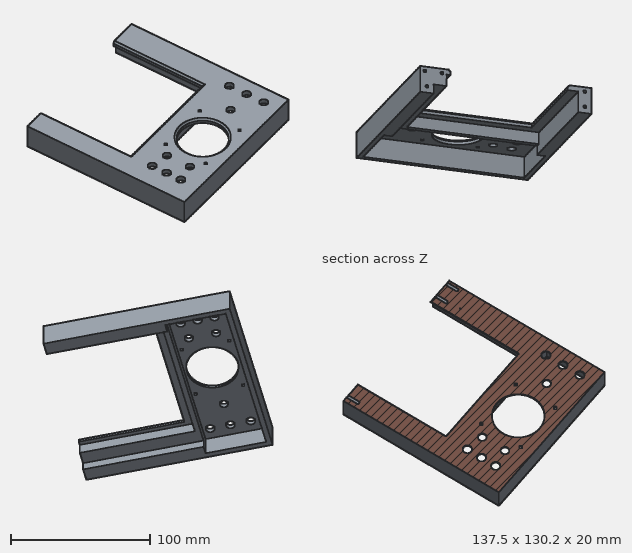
import cadquery as cq

LENGTH = 137.5
WIDTH = 130.2
HEIGHT = 20.0

PLATE = 4.0
PLATE_BOTTOM = HEIGHT - PLATE
ARM_WALL = 10.0
PANEL_WALL = 3.8
LEDGE_WIDTH = 9.9
LEDGE_BOTTOM = 7.0

OPENING_END = 77.8
OPENING_FRONT = 18.2
OPENING_BACK = 107.2
OPENING_CHAMFER = 1.5

RIB_START = 85.0
RIB_THICKNESS = 4.0
RIB_END = RIB_START + RIB_THICKNESS

PANEL_X = 109.5
BORE_Y = 62.8
BORE_DIAMETER = 37.5
BORE_CHAMFER = 1.5
SCREW_DIAMETER = 2.0
SCREW_HALF_X = 17.5
SCREW_HALF_Y = 21.2
LARGE_HOLE = 6.5
SMALL_HOLE = 6.0
BACK_ROW_Y = 117.7
BACK_ROW_PITCH = 15.0
SINGLE_HOLE_Y = 97.8
PAIR_Y = 32.6
PAIR_HALF_PITCH = 10.0
FRONT_ROW_Y = 17.7
FRONT_ROW_PITCH = 12.5

END_HOLE_DEPTH = 10.0
END_HOLE_TOP_Z = 16.5
END_HOLE_LOW_Z = 4.8
END_HOLE_INSET = 5.1
END_HOLE_BACK_INSET = 3.5
END_HOLE_LEDGE_INSET = 16.5


def box(x_range, y_range, z_range):
    """Box between the given (low, high) limits along each axis."""
    size = [high - low for low, high in (x_range, y_range, z_range)]
    corner = (x_range[0], y_range[0], z_range[0])
    return cq.Workplane("XY").box(*size, centered=False).translate(corner)


def opening():
    """Through opening, open at X = 0, with its top edges chamfered."""
    slot = box((0, OPENING_END), (OPENING_FRONT, OPENING_BACK), (0, HEIGHT))
    flare = (
        cq.Workplane("XY", origin=(0, 0, HEIGHT))
        .moveTo(-OPENING_END, OPENING_FRONT - OPENING_CHAMFER)
        .lineTo(OPENING_END + OPENING_CHAMFER, OPENING_FRONT - OPENING_CHAMFER)
        .lineTo(OPENING_END + OPENING_CHAMFER, OPENING_BACK + OPENING_CHAMFER)
        .lineTo(-OPENING_END, OPENING_BACK + OPENING_CHAMFER)
        .close()
        .extrude(-OPENING_CHAMFER, taper=45)
    )
    return slot.union(flare)


def underside_recess():
    """Hollow below the plate: arm channel, lower step and panel cavity."""
    back_wall = WIDTH - ARM_WALL
    channel = box((0, RIB_START), (ARM_WALL, back_wall - LEDGE_WIDTH), (0, PLATE_BOTTOM))
    step = box((0, RIB_END), (ARM_WALL, back_wall), (0, LEDGE_BOTTOM))
    cavity = box(
        (RIB_END, LENGTH - PANEL_WALL),
        (PANEL_WALL, WIDTH - PANEL_WALL),
        (0, PLATE_BOTTOM),
    )
    return channel.union(step).union(cavity)


def panel_holes(points, diameter):
    """Round holes through the plate."""
    return (
        cq.Workplane("XY", origin=(0, 0, PLATE_BOTTOM))
        .pushPoints(points)
        .circle(diameter / 2)
        .extrude(PLATE)
    )


def bore():
    """Large panel bore with a chamfered top edge."""
    radius = BORE_DIAMETER / 2
    countersink = (
        cq.Workplane("XY", origin=(PANEL_X, BORE_Y, HEIGHT))
        .circle(radius + BORE_CHAMFER)
        .extrude(-BORE_CHAMFER, taper=45)
    )
    return panel_holes([(PANEL_X, BORE_Y)], BORE_DIAMETER).union(countersink)


def row(y, pitch):
    """Three hole centres spaced along X."""
    return [(PANEL_X + i * pitch, y) for i in (-1, 0, 1)]


def end_holes():
    """Blind screw holes in the X = 0 faces of both arms."""
    points = [
        (END_HOLE_INSET, END_HOLE_TOP_Z),
        (END_HOLE_INSET, END_HOLE_LOW_Z),
        (WIDTH - END_HOLE_INSET, END_HOLE_LOW_Z),
        (WIDTH - END_HOLE_BACK_INSET, END_HOLE_TOP_Z),
        (WIDTH - END_HOLE_LEDGE_INSET, END_HOLE_TOP_Z),
    ]
    return (
        cq.Workplane("YZ")
        .pushPoints(points)
        .circle(SCREW_DIAMETER / 2)
        .extrude(END_HOLE_DEPTH)
    )


screw_points = [
    (PANEL_X + side_x * SCREW_HALF_X, BORE_Y + side_y * SCREW_HALF_Y)
    for side_x in (-1, 1)
    for side_y in (-1, 1)
]
large_points = row(BACK_ROW_Y, BACK_ROW_PITCH) + row(FRONT_ROW_Y, FRONT_ROW_PITCH)
small_points = [
    (PANEL_X, SINGLE_HOLE_Y),
    (PANEL_X - PAIR_HALF_PITCH, PAIR_Y),
    (PANEL_X + PAIR_HALF_PITCH, PAIR_Y),
]

result = (
    box((0, LENGTH), (0, WIDTH), (0, HEIGHT))
    .cut(underside_recess())
    .cut(opening())
    .cut(bore())
    .cut(panel_holes(screw_points, SCREW_DIAMETER))
    .cut(panel_holes(large_points, LARGE_HOLE))
    .cut(panel_holes(small_points, SMALL_HOLE))
    .cut(end_holes())
)